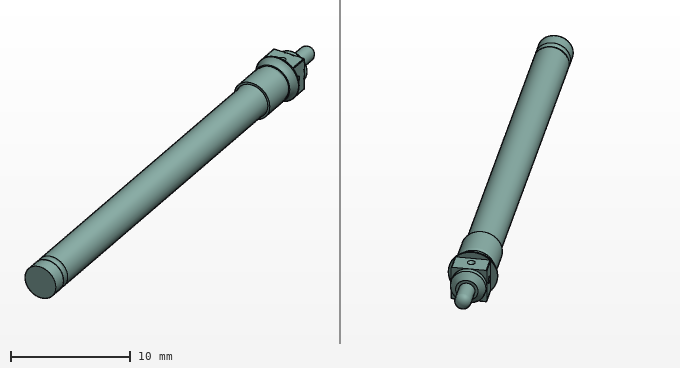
import cadquery as cq
import math

total_length = 43.1
rear_groove_start = 1.25
rear_groove_end = 1.9
collar_start = 33.75
neck_cone_length = 0.2
front_groove_start = 36.55
front_groove_end = 36.95
flange_front = 37.9
flange_edge_width = 0.15
head_start = 39.65
pin_start = 40.65
head_chamfer = 0.55
pin_dome_height = 0.6

body_diameter = 3.0
rear_groove_diameter = 2.67
neck_cone_diameter = 3.1
collar_diameter = 3.5
front_groove_diameter = 3.28
flange_diameter = 4.2
pin_diameter = 1.4

square_width = body_diameter
dimple_diameter = 0.65
dimple_depth = 0.3
dimple_station = 38.57

body_radius = body_diameter / 2
collar_radius = collar_diameter / 2
flange_radius = flange_diameter / 2
pin_radius = pin_diameter / 2


def flare_midpoint():
    """Middle of the concave flare, an arc that leaves the collar surface tangentially."""
    rise = flange_radius - collar_radius
    run = flange_front - flange_edge_width - front_groove_end
    arc_radius = (rise**2 + run**2) / (2 * rise)
    half_angle = math.asin(run / arc_radius) / 2
    radius = collar_radius + arc_radius * (1 - math.cos(half_angle))
    return radius, front_groove_end + arc_radius * math.sin(half_angle)


def dome_midpoint():
    """Middle of the spherical cap's arc, from the rim of the pin to its tip."""
    sphere_radius = (pin_radius**2 + pin_dome_height**2) / (2 * pin_dome_height)
    half_angle = math.asin(pin_radius / sphere_radius) / 2
    drop = sphere_radius * (1 - math.cos(half_angle))
    return sphere_radius * math.sin(half_angle), total_length - drop


def turned_body():
    """Everything that is round about the Y axis; profile points are (radius, station)."""
    rear_groove_middle = (rear_groove_start + rear_groove_end) / 2
    profile = (
        cq.Workplane("XY")
        .lineTo(body_radius, 0)
        .lineTo(body_radius, rear_groove_start)
        .threePointArc((rear_groove_diameter / 2, rear_groove_middle), (body_radius, rear_groove_end))
        .lineTo(body_radius, collar_start - neck_cone_length)
        .lineTo(neck_cone_diameter / 2, collar_start)
        .lineTo(collar_radius, collar_start)
        .lineTo(collar_radius, front_groove_start)
        .lineTo(front_groove_diameter / 2, front_groove_end)
        .lineTo(collar_radius, front_groove_end)
        .threePointArc(flare_midpoint(), (flange_radius, flange_front - flange_edge_width))
        .lineTo(flange_radius, flange_front)
        .lineTo(body_radius, flange_front)
        .lineTo(body_radius, pin_start - head_chamfer)
        .lineTo(body_radius - head_chamfer, pin_start)
        .lineTo(pin_radius, pin_start)
        .lineTo(pin_radius, total_length - pin_dome_height)
        .threePointArc(dome_midpoint(), (0, total_length))
        .close()
    )
    return profile.revolve(360, (0, 0, 0), (0, 1, 0))


def square_section():
    """Square block between flange and head, its corners kept within the flange circle."""
    length = head_start - flange_front
    plane = cq.Workplane("XZ", origin=(0, head_start, 0))
    block = plane.rect(square_width, square_width).extrude(length)
    return block.intersect(plane.circle(flange_radius).extrude(length))


def dimple(angle):
    """Cone that sinks into one flat, turned about the Y axis by the angle."""
    base = cq.Vector(0, dimple_station, square_width / 2)
    cone = cq.Solid.makeCone(dimple_diameter / 2, 0, dimple_depth, base, cq.Vector(0, 0, -1))
    return cq.Workplane("XY").add(cone).rotate((0, 0, 0), (0, 1, 0), angle)


result = turned_body().union(square_section())
for quarter in range(4):
    result = result.cut(dimple(90 * quarter))